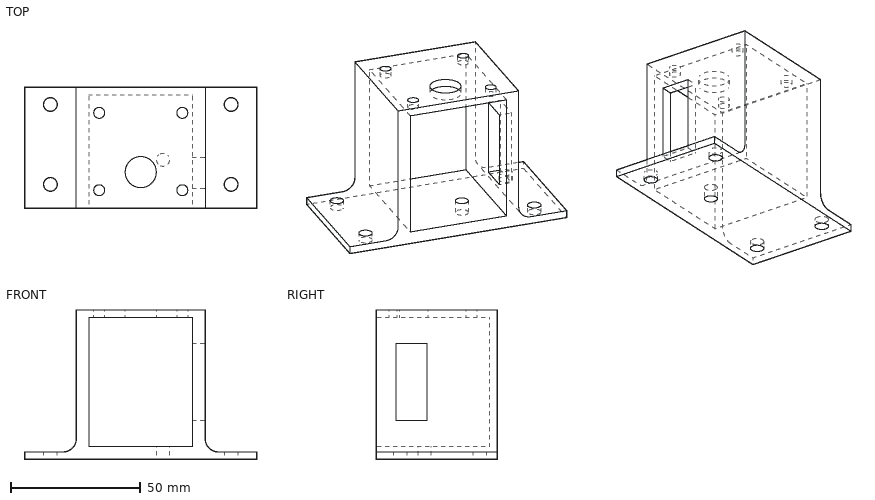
import cadquery as cq

length = 90.0
depth = 47.0
base_thickness = 3.0
corner_radius = 5.0
selection_margin = 0.9
flange_hole_diameter = 5.2
flange_hole_x = 35.0
flange_hole_spacing_y = 31.0
flange_hole_offset_y = 1.3

height = 58.0
housing_width = 50.0
side_wall = 5.0
floor_thickness = 5.0
roof_thickness = 3.0
back_wall = 3.0

roof_hole_diameter = 4.2
roof_hole_x = 16.1
roof_hole_spacing_y = 30.0
shaft_hole_diameter = 12.1
shaft_hole_from_front = 14.0

floor_hole_diameter = 5.0
floor_hole_x = 8.6
floor_hole_from_front = 18.8

window_width = 12.0
window_from_front = 7.7
window_bottom = 15.0
window_height = 30.0

front = -depth / 2
half_width = housing_width / 2
cavity_width = housing_width - 2 * side_wall
cavity_depth = depth - back_wall
cavity_height = height - floor_thickness - roof_thickness
cavity_centre_y = front + cavity_depth / 2


def box_from(x, y, z, size_x, size_y, size_z):
    """Box grown in the positive directions from its lowest corner."""
    return cq.Workplane("XY").box(size_x, size_y, size_z, centered=False).translate((x, y, z))


def drill(points, diameter, bottom, thickness):
    """Vertical cutters through a plate of the given thickness."""
    plane = cq.Workplane("XY").workplane(offset=bottom)
    return plane.pushPoints(points).circle(diameter / 2).extrude(thickness)


def make_body():
    """Flanged base and housing block with rounded inside corners."""
    base = box_from(-length / 2, front, 0, length, depth, base_thickness)
    block = box_from(-half_width, front, 0, housing_width, depth, height)
    inside_corners = cq.selectors.BoxSelector(
        (-half_width - selection_margin, front - selection_margin, base_thickness - selection_margin),
        (half_width + selection_margin, -front + selection_margin, base_thickness + selection_margin),
    )
    return base.union(block).edges("|Y").edges(inside_corners).fillet(corner_radius)


cavity = box_from(-cavity_width / 2, front, floor_thickness, cavity_width, cavity_depth, cavity_height)
window = box_from(
    cavity_width / 2, front + window_from_front, window_bottom, side_wall, window_width, window_height
)

flange_points = [
    (side * flange_hole_x, flange_hole_offset_y + row * flange_hole_spacing_y / 2)
    for side in (-1, 1)
    for row in (-1, 1)
]
flange_holes = drill(flange_points, flange_hole_diameter, 0, base_thickness)

roof_bottom = height - roof_thickness
roof_points = [
    (side * roof_hole_x, cavity_centre_y + row * roof_hole_spacing_y / 2)
    for side in (-1, 1)
    for row in (-1, 1)
]
roof_holes = drill(roof_points, roof_hole_diameter, roof_bottom, roof_thickness)
shaft_hole = drill([(0, front + shaft_hole_from_front)], shaft_hole_diameter, roof_bottom, roof_thickness)

floor_point = (floor_hole_x, front + floor_hole_from_front)
floor_hole = drill([floor_point], floor_hole_diameter, 0, floor_thickness)

result = make_body()
for cutter in (cavity, window, flange_holes, roof_holes, shaft_hole, floor_hole):
    result = result.cut(cutter)